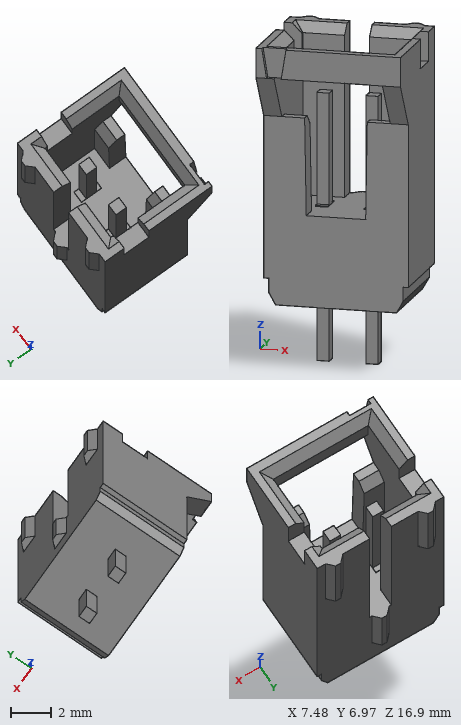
import cadquery as cq


width = 7.48
height = 16.89
back_y = 6.6
body_front_y = 1.5
housing_bottom_z = 3.31
slope_bottom_z = 13.05
collar_bottom_z = 15.37

shoulder_z = 4.66
foot_chamfer_z = 3.94
foot_half_width = 3.48
foot_bottom_half_width = 3.12

cavity_width = 5.6
cavity_front_y = 1.01
cavity_back_y = 5.57
floor_z = 8.02
lead_in = 0.5
front_wall_inner_y = 2.52

window_half_width_top = 1.62
window_half_width_bottom = 1.54
back_slot_width = 1.28
notch_front_y = 3.9
notch_back_y = 5.42

mark_center_x = 0.93 - width / 2
mark_top_width = 1.25
mark_bottom_width = 0.76
mark_depth = 0.25

rib_spacing = 2.74
rib_base_width = 1.01
rib_tip_width = 0.3
rib_height = 0.37
side_rib_bottom_z = 12.92
center_rib_bottom_z = 5.0

pin_pitch = 2.53
pin_size = 0.65
pin_center_y = 4.05
pin_top_z = 13.83
pin_pad_length = 1.23
pin_pad_height = 0.05


def block(x_min, x_max, y_min, y_max, z_min, z_max):
    size = (x_max - x_min, y_max - y_min, z_max - z_min)
    return cq.Workplane("XY").box(*size, centered=False).translate((x_min, y_min, z_min))


def centered_block(x_size, y_min, y_max, z_min, z_max):
    return block(-x_size / 2, x_size / 2, y_min, y_max, z_min, z_max)


def front_prism(points, y_min, y_max):
    """Extrude an outline in X and Z from y_min back to y_max."""
    return cq.Workplane("XZ", origin=(0, y_min, 0)).polyline(points).close().extrude(y_min - y_max)


def side_prism(points, x_size):
    """Extrude an outline in Y and Z, centered across the width."""
    return cq.Workplane("YZ").polyline(points).close().extrude(x_size / 2, both=True)


def make_shell():
    side_outline = [
        (body_front_y, housing_bottom_z),
        (back_y, housing_bottom_z),
        (back_y, height),
        (0, height),
        (0, collar_bottom_z),
        (body_front_y, slope_bottom_z),
    ]
    front_outline = [
        (-foot_bottom_half_width, housing_bottom_z),
        (foot_bottom_half_width, housing_bottom_z),
        (foot_half_width, foot_chamfer_z),
        (foot_half_width, shoulder_z),
        (width / 2, shoulder_z),
        (width / 2, height),
        (-width / 2, height),
        (-width / 2, shoulder_z),
        (-foot_half_width, shoulder_z),
        (-foot_half_width, foot_chamfer_z),
    ]
    return side_prism(side_outline, width).intersect(front_prism(front_outline, 0, back_y))


def make_cavity():
    pocket = centered_block(cavity_width, front_wall_inner_y, cavity_back_y, floor_z, height)
    upper = centered_block(cavity_width, cavity_front_y, cavity_back_y, slope_bottom_z, height)
    below_collar = centered_block(cavity_width, 0, cavity_back_y, slope_bottom_z, collar_bottom_z)
    wall_chamfer = side_prism(
        [
            (front_wall_inner_y, slope_bottom_z),
            (front_wall_inner_y - lead_in, slope_bottom_z),
            (front_wall_inner_y, slope_bottom_z - lead_in),
        ],
        cavity_width,
    )
    cavity_depth = cavity_back_y - cavity_front_y
    mouth = (
        cq.Workplane("XY", origin=(0, (cavity_front_y + cavity_back_y) / 2, height - lead_in))
        .rect(cavity_width, cavity_depth)
        .workplane(offset=lead_in)
        .rect(cavity_width + 2 * lead_in, cavity_depth + 2 * lead_in)
        .loft(ruled=True)
    )
    return pocket.union(upper).union(below_collar).union(wall_chamfer).union(mouth)


def make_front_window():
    outline = [
        (-window_half_width_bottom, floor_z),
        (window_half_width_bottom, floor_z),
        (window_half_width_top, slope_bottom_z),
        (-window_half_width_top, slope_bottom_z),
    ]
    return front_prism(outline, body_front_y, front_wall_inner_y)


def make_collar_mark():
    outline = [
        (mark_center_x - mark_bottom_width / 2, collar_bottom_z),
        (mark_center_x + mark_bottom_width / 2, collar_bottom_z),
        (mark_center_x + mark_top_width / 2, height),
        (mark_center_x - mark_top_width / 2, height),
    ]
    return front_prism(outline, 0, mark_depth)


def make_rib(x, z_min, z_max):
    outline = [
        (x - rib_base_width / 2, back_y),
        (x + rib_base_width / 2, back_y),
        (x + rib_tip_width / 2, back_y + rib_height),
        (x - rib_tip_width / 2, back_y + rib_height),
    ]
    return cq.Workplane("XY", origin=(0, 0, z_min)).polyline(outline).close().extrude(z_max - z_min)


def make_pin(x):
    half = pin_size / 2
    half_pad = pin_pad_length / 2
    pin = block(x - half, x + half, pin_center_y - half, pin_center_y + half, 0, pin_top_z)
    pad = block(
        x - half, x + half,
        pin_center_y - half_pad, pin_center_y + half_pad,
        floor_z, floor_z + pin_pad_height,
    )
    return pin.union(pad)


back_slot = centered_block(back_slot_width, cavity_back_y, back_y, floor_z, height)
side_notches = centered_block(width, notch_front_y, notch_back_y, collar_bottom_z, height)

result = make_shell()
for opening in (make_cavity(), make_front_window(), back_slot, side_notches, make_collar_mark()):
    result = result.cut(opening)

result = result.union(make_rib(0, center_rib_bottom_z, floor_z))
for side in (-1, 1):
    result = result.union(make_rib(side * rib_spacing, side_rib_bottom_z, height))
    result = result.union(make_pin(side * pin_pitch / 2))